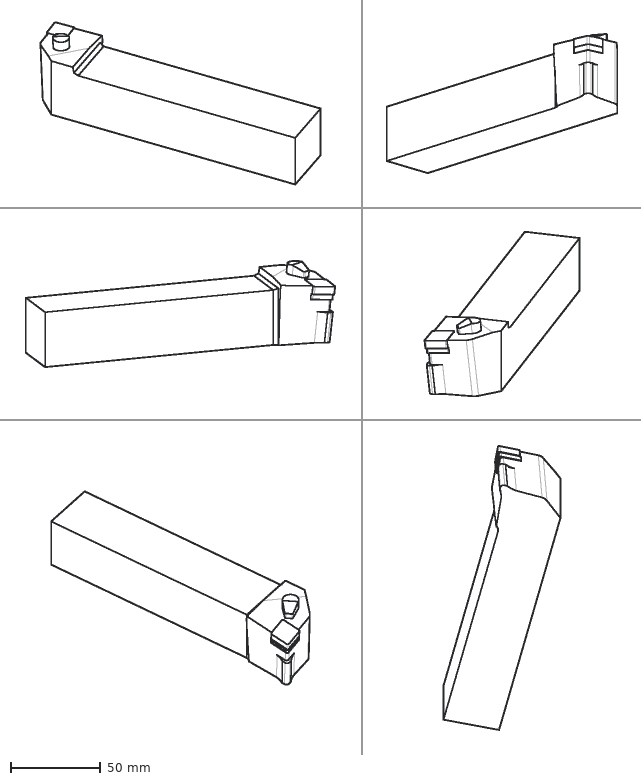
import cadquery as cq
import math

length = 170.0
shank_size = 32.0

head_height = 36.7
head_end = 31.6
nose_bevel = 17.5
bevel_blend = 5.1
shoulder_run = 2.7
shoulder_rise = 1.0
wall_lean = 0.7
depth = 51.0

tilt = 6.5
hinge = cq.Vector(14.1, 4.2, head_height)
hinge_end = hinge + cq.Vector(1.7, 1.7, 0)

lead = math.radians(5)
insert_side = 12.9
insert_thickness = 4.8
insert_radius = 0.8
tip_x = -0.24
tip_y = 40.1
shim_inset = 0.5
shim_thickness = 3.2
head_inset = 1.0
head_tip_radius = 1.4

pad_drop = 15.3
pad_reach = 7.6
pad_proud = 1.5
pad_land = 3.9
pad_root = 0.8
pad_radius = 1.9

clamp_top = 41.8
clamp_radius = 4.6
clamp_x = 15.8
clamp_y = 16.0
clamp_turn = 120.0
finger_start = 1.7
finger_end = 8.7
finger_half_width = 2.2
finger_drop = 3.2
finger_corner = 0.7
clamp_root = 1.7


def incline(body):
    """Turn a body about the hinge line so that the insert corner sinks."""
    return body.rotate(hinge.toTuple(), hinge_end.toTuple(), -tilt)


def inclined_prism(outline, drop, height):
    """Place a sketched outline below the head top and extrude it downward."""
    return outline.extrude(-height).translate((0, 0, head_height - drop))


def from_tip(along_front, along_end, inset=0.0):
    """Point at distances along the two cutting edges, inset from both."""
    a = along_front + inset / math.cos(2 * lead)
    b = along_end + inset / math.cos(2 * lead)
    x = tip_x + a * math.cos(lead) + b * math.sin(lead)
    y = tip_y - a * math.sin(lead) - b * math.cos(lead)
    return (x, y)


def rhombus(inset, drop, thickness):
    """Rhombic plate with rounded corners, inset behind both cutting edges."""
    side = insert_side
    corners = [
        from_tip(0, 0, inset),
        from_tip(side, 0, inset),
        from_tip(side, side, inset),
        from_tip(0, side, inset),
    ]
    body = inclined_prism(cq.Workplane("XY").polyline(corners).close(), drop, thickness)
    return body.edges("|Z").fillet(insert_radius)


def round_corner(body, corner, radius):
    """Round the vertical edge that stands at a corner of an outline."""
    middle = body.val().Center().z
    return body.edges("|Z").edges(cq.selectors.NearestToPointSelector((*corner, middle))).fillet(radius)


def make_head_block():
    """Inclined head, left oversize where the trimming box cuts it."""
    reach = 2 * head_end
    tip = from_tip(0, 0, head_inset)
    slope = math.tan(lead)
    bevel_y = (nose_bevel - tip[0] - tip[1] * slope) / (1 - slope)
    bevel_corner = (nose_bevel - bevel_y, bevel_y)
    points = [
        tip,
        bevel_corner,
        (reach, nose_bevel - reach),
        (reach, tip[1] - (reach - tip[0]) * slope),
    ]
    block = inclined_prism(cq.Workplane("XY").polyline(points).close(), 0, depth)
    block = round_corner(block, tip, head_tip_radius)
    return round_corner(block, bevel_corner, bevel_blend)


def make_pad():
    """Pad around the lower tip, blending into both flanks through hollow arcs."""
    proud = head_inset - pad_proud
    inner = head_inset + pad_root
    arc_middle = (pad_land + pad_reach) / 2
    arc_inset = head_inset - pad_proud / 4
    tip = from_tip(0, 0, proud)
    outline = (
        cq.Workplane("XY")
        .moveTo(*tip)
        .lineTo(*from_tip(pad_land, 0, proud))
        .threePointArc(from_tip(arc_middle, 0, arc_inset), from_tip(pad_reach, 0, head_inset))
        .lineTo(*from_tip(pad_reach, 0, inner))
        .lineTo(*from_tip(0, pad_reach, inner))
        .lineTo(*from_tip(0, pad_reach, head_inset))
        .threePointArc(from_tip(0, arc_middle, arc_inset), from_tip(0, pad_land, proud))
        .close()
    )
    pad = inclined_prism(outline, pad_drop, depth)
    return round_corner(pad, tip, pad_radius)


def make_clamp():
    """Round boss with a tapered finger; its top slopes down along the finger."""
    crest_half = math.sqrt(clamp_radius**2 - finger_start**2)
    clamp = (
        cq.Workplane("XY")
        .moveTo(finger_start, -crest_half)
        .lineTo(finger_end, -finger_half_width)
        .lineTo(finger_end, finger_half_width)
        .lineTo(finger_start, crest_half)
        .threePointArc((-clamp_radius, 0), (finger_start, -crest_half))
        .close()
        .extrude(2 * clamp_radius)
        .edges("|Z and >X")
        .fillet(finger_corner)
        .rotate((0, 0, 0), (0, 0, 1), clamp_turn)
        .translate((clamp_x, clamp_y, head_height - clamp_root))
    )
    lid = (
        cq.Workplane("XZ")
        .moveTo(-2 * clamp_radius, 0)
        .lineTo(finger_start, 0)
        .lineTo(finger_end, -finger_drop)
        .lineTo(2 * finger_end, -finger_drop)
        .lineTo(2 * finger_end, clamp_top)
        .lineTo(-2 * clamp_radius, clamp_top)
        .close()
        .extrude(2 * clamp_radius, both=True)
        .rotate((0, 0, 0), (0, 0, 1), clamp_turn)
        .translate((clamp_x, clamp_y, clamp_top))
    )
    return incline(clamp).cut(lid)


def make_shank():
    shank = cq.Workplane("XY").box(length - head_end, shank_size, shank_size, centered=False)
    return shank.translate((head_end, 0, 0))


def make_shoulder():
    """Sloping foot between head and shank, on the top and the +Y side."""
    return (
        cq.Workplane("YZ", origin=(head_end, 0, 0))
        .rect(shank_size + shoulder_rise, shank_size + shoulder_rise, centered=False)
        .workplane(offset=shoulder_run)
        .rect(shank_size, shank_size, centered=False)
        .loft(ruled=True)
    )


def make_insert():
    return incline(rhombus(0, 0, insert_thickness))


def make_holder():
    wall_height = head_height - shank_size - shoulder_rise
    trim = (
        cq.Workplane("XY")
        .box(2 * head_end, 2 * tip_y, head_height, centered=False)
        .translate((-head_end, 0, 0))
        .faces(">X")
        .edges(">Z")
        .chamfer(wall_height, wall_lean)
    )
    seat = rhombus(0, 0, insert_thickness)
    shim = rhombus(shim_inset, insert_thickness, shim_thickness)
    head = make_head_block().union(make_pad()).cut(seat).union(shim)
    head = incline(head).intersect(trim)
    return head.union(make_shank()).union(make_shoulder()).union(make_clamp())


insert = make_insert()
holder = make_holder()

result = cq.Compound.makeCompound([holder.val(), insert.val()])